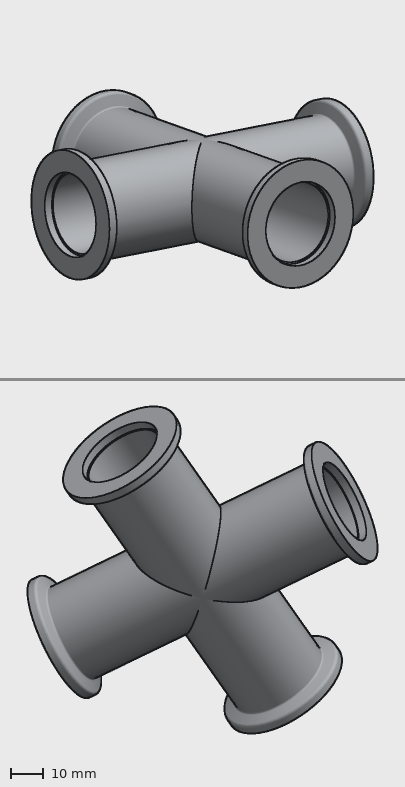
import cadquery as cq
import math

face_to_face = 100.0
arm_length = face_to_face / 2
arm_count = 4
tube_radius = 31.0 / 2
bore_radius = 25.0 / 2

flange_radius = 40.0 / 2
rim_thickness = 3.0
flange_taper = 15.0
rim_fillet = 1.0
neck_fillet = 0.5

recess_radius = 26.2 / 2
recess_depth = 2.7

rim_back = arm_length - rim_thickness
taper_length = (flange_radius - tube_radius) * math.tan(math.radians(flange_taper))
neck_end = rim_back - taper_length


def flanged_arm():
    """Solid tube along +X from the part centre, ending in a tapered clamp flange."""
    arm = (
        cq.Workplane("XY")
        .polyline([
            (0, 0),
            (0, tube_radius),
            (neck_end, tube_radius),
            (rim_back, flange_radius),
            (arm_length, flange_radius),
            (arm_length, 0),
        ])
        .close()
        .revolve(360, (0, 0, 0), (1, 0, 0))
    )
    arm = arm.edges(cq.selectors.RadiusNthSelector(-1)).edges("<X").fillet(rim_fillet)
    return arm.edges(cq.selectors.RadiusNthSelector(0)).edges(">X").fillet(neck_fillet)


def arm_bore():
    """Bore along +X from the part centre, with the recess at the flange face."""
    bore = cq.Workplane("YZ").circle(bore_radius).extrude(arm_length)
    recess = (
        cq.Workplane("YZ", origin=(arm_length - recess_depth, 0, 0))
        .circle(recess_radius)
        .extrude(recess_depth)
    )
    return bore.union(recess)


def four_way(arm):
    """Copies of an arm joined evenly around the Z axis.

    Each copy is limited to its own quarter wedge, so neighbours meet on a mitre.
    """
    wedge = (
        cq.Workplane("XY", origin=(0, 0, -flange_radius))
        .polyline([(0, 0), (arm_length, -arm_length), (arm_length, arm_length)])
        .close()
        .extrude(2 * flange_radius)
    )
    mitred = arm.intersect(wedge)
    cross = mitred
    for index in range(1, arm_count):
        turned = mitred.rotate((0, 0, 0), (0, 0, 1), index * 360 / arm_count)
        cross = cross.union(turned)
    return cross


result = four_way(flanged_arm()).cut(four_way(arm_bore()))